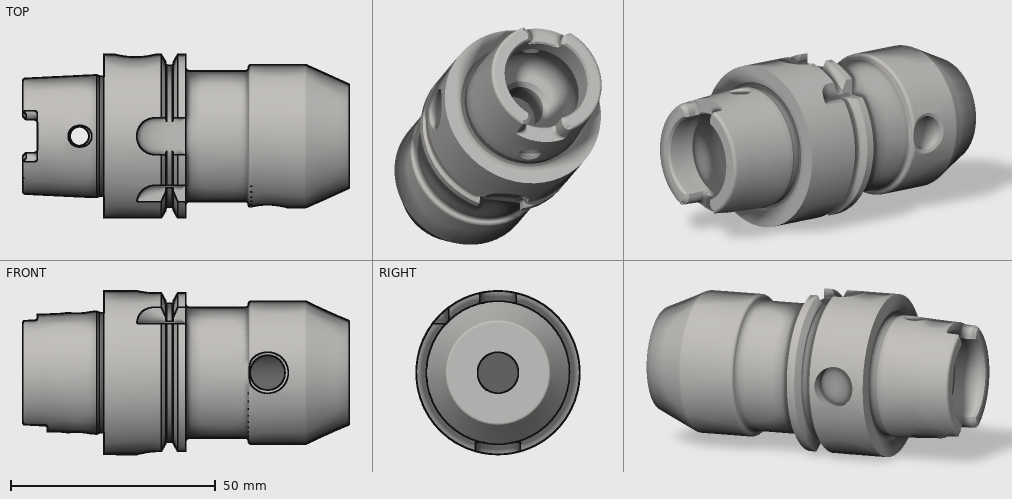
import cadquery as cq
import math


SHANK_LENGTH = 19.9
SHANK_END_RADIUS = 14.15
SHANK_BIG_RADIUS = 15.0
SHANK_END_ROUND = 0.8
SHANK_BIG_X = -1.8
RELIEF_X = -1.1
RELIEF_RADIUS = 14.7
RECESS_OUTER_RADIUS = 15.95
RECESS_FLOOR_RADIUS = 15.3
RECESS_DEPTH = 0.4

COLLAR_RADIUS = 20.0
COLLAR_LENGTH = 14.0
GROOVE_RADIUS = 17.4
GROOVE_FILLET = 0.25
GROOVE_WIDTH = 4.05
GROOVE_CONE_RUN = 1.1
GROOVE_CONE_ANGLE = 30.0
FLANGE_END_X = 20.0

NECK_RADIUS = 16.0
NECK_FILLET = 0.8
NECK_END_FILLET = 0.7
NOSE_START_X = 35.3
NOSE_RADIUS = 17.5
NOSE_START_ROUND = NOSE_RADIUS - NECK_RADIUS - NECK_END_FILLET
NOSE_CONE_X = 49.25
NOSE_CONE_ROUND = 1.3
NOSE_LENGTH = 60.0
NOSE_CONE_ANGLE = 24.3
NOSE_END_ROUND = 0.6

BORE_RADIUS = 10.5
MOUTH_CHAMFER = 0.4
MOUTH_CHAMFER_ANGLE = 30.0
LIP_LENGTH = 7.8
UNDERCUT_RADIUS = 12.75
UNDERCUT_ANGLE = 60.0
CAVITY_FLOOR_FILLET = 3.0
CAVITY_FLOOR_X = -1.0
COUPLING_RADIUS = 5.2
COUPLING_CHAMFER = 1.1
COUPLING_DEPTH = 8.0

DRIVE_HALF_WIDTH = 4.0
DRIVE_ROUND = 2.2
DRIVE_FLARE_Z = 10.5
DRIVE_INNER_Z = 6.0
DRIVE_OUTER_Z = 16.0
DRIVE_MOUTH_CHAMFER = 0.9
DRIVE_MOUTH_ANGLE = 45.0
DRIVE_FLOOR_FILLET = 0.7
TOP_DRIVE_DEPTH = 3.6
BOTTOM_DRIVE_DEPTH = 6.1

ACCESS_X = -6.0
ACCESS_RADIUS = 2.3
ACCESS_CHAMFER = 0.6

KEYWAY_START_X = 8.0
KEYWAY_FLOOR = 17.0
KEYWAY_FILLET = 0.4
TOP_KEYWAY_WIDTH = 9.0
BOTTOM_KEYWAY_WIDTH = 11.0
NOTCH_DISTANCE = 12.0

CHIP_X = 7.7
CHIP_RADIUS = 5.0
CHIP_DEPTH = 4.6

TOOL_BORE_RADIUS = 5.0
TOOL_BORE_DEPTH = 40.0
SCREW_X = 40.0
SCREW_RADIUS = 4.25
SCREW_CHAMFER_WIDTH = 0.8
SCREW_CHAMFER_DEPTH = 0.45


def revolve(profile):
    return profile.close().revolve(360, (0, 0, 0), (1, 0, 0))


def cone_run(radial_step, angle_deg):
    """Length along X over which a cone of this half angle changes radius by radial_step."""
    return radial_step / math.tan(math.radians(angle_deg))


def make_shank_and_collar():
    groove_wall_radius = COLLAR_RADIUS - cone_run(GROOVE_CONE_RUN, GROOVE_CONE_ANGLE)
    groove_start_x = COLLAR_LENGTH + GROOVE_CONE_RUN
    groove_flange_x = COLLAR_LENGTH + GROOVE_WIDTH
    groove_stop_x = groove_flange_x - GROOVE_CONE_RUN
    groove_fillet_radius = GROOVE_RADIUS + GROOVE_FILLET
    profile = (
        cq.Workplane("XY")
        .moveTo(-SHANK_LENGTH, 0)
        .lineTo(-SHANK_LENGTH, SHANK_END_RADIUS - SHANK_END_ROUND)
        .radiusArc((SHANK_END_ROUND - SHANK_LENGTH, SHANK_END_RADIUS), SHANK_END_ROUND)
        .lineTo(SHANK_BIG_X, SHANK_BIG_RADIUS)
        .lineTo(RELIEF_X, RELIEF_RADIUS)
        .lineTo(RECESS_DEPTH, RELIEF_RADIUS)
        .lineTo(RECESS_DEPTH, RECESS_FLOOR_RADIUS)
        .lineTo(0, RECESS_OUTER_RADIUS)
        .lineTo(0, COLLAR_RADIUS)
        .lineTo(COLLAR_LENGTH, COLLAR_RADIUS)
        .lineTo(groove_start_x, groove_wall_radius)
        .lineTo(groove_start_x, groove_fillet_radius)
        .radiusArc((groove_start_x + GROOVE_FILLET, GROOVE_RADIUS), -GROOVE_FILLET)
        .lineTo(groove_stop_x - GROOVE_FILLET, GROOVE_RADIUS)
        .radiusArc((groove_stop_x, groove_fillet_radius), -GROOVE_FILLET)
        .lineTo(groove_stop_x, groove_wall_radius)
        .lineTo(groove_flange_x, COLLAR_RADIUS)
        .lineTo(FLANGE_END_X, COLLAR_RADIUS)
        .lineTo(FLANGE_END_X, 0)
    )
    return revolve(profile)


def make_neck_and_nose():
    cone_angle = math.radians(NOSE_CONE_ANGLE)
    run_cos = math.cos(cone_angle)
    run_sin = math.sin(cone_angle)
    cone_tangent = NOSE_CONE_ROUND * math.tan(cone_angle / 2)
    end_tangent = NOSE_END_ROUND * math.tan((math.pi / 2 - cone_angle) / 2)
    end_radius = NOSE_RADIUS - (NOSE_LENGTH - NOSE_CONE_X) * math.tan(cone_angle)
    profile = (
        cq.Workplane("XY")
        .moveTo(FLANGE_END_X, 0)
        .lineTo(FLANGE_END_X, NECK_RADIUS + NECK_FILLET)
        .radiusArc((FLANGE_END_X + NECK_FILLET, NECK_RADIUS), -NECK_FILLET)
        .lineTo(NOSE_START_X - NECK_END_FILLET, NECK_RADIUS)
        .radiusArc((NOSE_START_X, NECK_RADIUS + NECK_END_FILLET), -NECK_END_FILLET)
        .radiusArc((NOSE_START_X + NOSE_START_ROUND, NOSE_RADIUS), NOSE_START_ROUND)
        .lineTo(NOSE_CONE_X - cone_tangent, NOSE_RADIUS)
        .radiusArc(
            (NOSE_CONE_X + cone_tangent * run_cos, NOSE_RADIUS - cone_tangent * run_sin),
            NOSE_CONE_ROUND,
        )
        .lineTo(NOSE_LENGTH - end_tangent * run_cos, end_radius + end_tangent * run_sin)
        .radiusArc((NOSE_LENGTH, end_radius - end_tangent), NOSE_END_ROUND)
        .lineTo(NOSE_LENGTH, 0)
    )
    return revolve(profile)


def make_cavity():
    mouth_run = cone_run(MOUTH_CHAMFER, MOUTH_CHAMFER_ANGLE)
    lip_x = LIP_LENGTH - SHANK_LENGTH
    undercut_run = cone_run(UNDERCUT_RADIUS - BORE_RADIUS, UNDERCUT_ANGLE)
    floor_flat_radius = UNDERCUT_RADIUS - CAVITY_FLOOR_FILLET
    profile = (
        cq.Workplane("XY")
        .moveTo(-SHANK_LENGTH, 0)
        .lineTo(-SHANK_LENGTH, BORE_RADIUS + MOUTH_CHAMFER)
        .lineTo(mouth_run - SHANK_LENGTH, BORE_RADIUS)
        .lineTo(lip_x, BORE_RADIUS)
        .lineTo(lip_x + undercut_run, UNDERCUT_RADIUS)
        .lineTo(CAVITY_FLOOR_X - CAVITY_FLOOR_FILLET, UNDERCUT_RADIUS)
        .radiusArc((CAVITY_FLOOR_X, floor_flat_radius), CAVITY_FLOOR_FILLET)
        .lineTo(CAVITY_FLOOR_X, COUPLING_RADIUS + COUPLING_CHAMFER)
        .lineTo(CAVITY_FLOOR_X + COUPLING_CHAMFER, COUPLING_RADIUS)
        .lineTo(CAVITY_FLOOR_X + COUPLING_DEPTH, COUPLING_RADIUS)
        .lineTo(CAVITY_FLOOR_X + COUPLING_DEPTH, 0)
    )
    return revolve(profile)


def drive_outline(growth):
    """Slot section at the shank end, with its walls moved outwards by growth."""
    half_width = DRIVE_HALF_WIDTH + growth
    arc_radius = DRIVE_ROUND - growth
    center_y = half_width + arc_radius
    shoulder_z = DRIVE_FLARE_Z + arc_radius
    return (
        cq.Workplane("YZ", origin=(-SHANK_LENGTH, 0, 0))
        .moveTo(-half_width, DRIVE_INNER_Z)
        .lineTo(half_width, DRIVE_INNER_Z)
        .lineTo(half_width, DRIVE_FLARE_Z)
        .radiusArc((center_y, shoulder_z), arc_radius)
        .lineTo(center_y, DRIVE_OUTER_Z)
        .lineTo(-center_y, DRIVE_OUTER_Z)
        .lineTo(-center_y, shoulder_z)
        .radiusArc((-half_width, DRIVE_FLARE_Z), arc_radius)
        .close()
    )


def make_drive_slot(depth):
    slot = drive_outline(0).extrude(depth).faces(">X").edges().fillet(DRIVE_FLOOR_FILLET)
    mouth = drive_outline(DRIVE_MOUTH_CHAMFER).extrude(DRIVE_MOUTH_CHAMFER, taper=DRIVE_MOUTH_ANGLE)
    return slot.union(mouth).union(make_slot_floor_chamfer(depth))


def make_slot_floor_chamfer(depth):
    """Bevel where the floor of a drive slot meets the shank bore."""
    cone = cq.Solid.makeCone(
        BORE_RADIUS + MOUTH_CHAMFER,
        BORE_RADIUS,
        MOUTH_CHAMFER,
        cq.Vector(depth - SHANK_LENGTH, 0, 0),
        cq.Vector(1, 0, 0),
    )
    half_width = DRIVE_HALF_WIDTH - DRIVE_FLOOR_FILLET
    slot_span = (
        cq.Workplane("YZ", origin=(depth - SHANK_LENGTH, 0, 0))
        .moveTo(-half_width, DRIVE_INNER_Z)
        .lineTo(half_width, DRIVE_INNER_Z)
        .lineTo(half_width, DRIVE_OUTER_Z)
        .lineTo(-half_width, DRIVE_OUTER_Z)
        .close()
        .extrude(MOUTH_CHAMFER)
    )
    return slot_span.intersect(cq.Workplane(cone))


def make_access_hole():
    taper = (SHANK_BIG_RADIUS - SHANK_END_RADIUS) / (SHANK_LENGTH + SHANK_BIG_X)
    wall_radius = SHANK_BIG_RADIUS - (SHANK_BIG_X - ACCESS_X) * taper
    outer_z = wall_radius + ACCESS_CHAMFER
    hole = cq.Workplane("XY").center(ACCESS_X, 0).circle(ACCESS_RADIUS).extrude(outer_z, both=True)
    for side in (1, -1):
        cone = cq.Solid.makeCone(
            ACCESS_RADIUS + 2 * ACCESS_CHAMFER,
            ACCESS_RADIUS,
            2 * ACCESS_CHAMFER,
            cq.Vector(ACCESS_X, 0, side * outer_z),
            cq.Vector(0, 0, -side),
        )
        hole = hole.union(cq.Workplane(cone))
    return hole


def make_keyway(width, floor_z, center_y):
    """Round-ended milled slot facing +Z, running out past the flange."""
    end_radius = width / 2
    center_x = KEYWAY_START_X + end_radius
    straight = FLANGE_END_X - center_x
    height = COLLAR_RADIUS - floor_z
    run = (
        cq.Workplane("XY", origin=(center_x, center_y, floor_z))
        .moveTo(0, end_radius)
        .threePointArc((-end_radius, 0), (0, -end_radius))
        .lineTo(straight, -end_radius)
        .lineTo(straight, end_radius)
        .close()
        .extrude(height)
    )
    return run.faces("<Z").edges("not >X").fillet(KEYWAY_FILLET)


def make_chip_pocket():
    return (
        cq.Workplane("XZ", origin=(CHIP_X, COLLAR_RADIUS, 0))
        .circle(CHIP_RADIUS)
        .extrude(CHIP_DEPTH)
    )


def make_tool_bore():
    return (
        cq.Workplane("YZ", origin=(NOSE_LENGTH - TOOL_BORE_DEPTH, 0, 0))
        .circle(TOOL_BORE_RADIUS)
        .extrude(TOOL_BORE_DEPTH)
    )


def make_screw_hole():
    """Radial hole whose chamfer follows the saddle-shaped rim on the round nose."""
    nose_bar = (
        cq.Workplane("YZ", origin=(SCREW_X, 0, 0))
        .circle(NOSE_RADIUS)
        .extrude(2 * SCREW_RADIUS, both=True)
    )
    hole = cq.Workplane("XZ").center(SCREW_X, 0).circle(SCREW_RADIUS).extrude(NOSE_RADIUS)
    drilled_bar = nose_bar.cut(hole)
    hole_wall = cq.NearestToPointSelector((SCREW_X, -NOSE_RADIUS / 2, SCREW_RADIUS))
    rim = drilled_bar.faces(hole_wall).edges("<Y")
    chamfered_bar = rim.chamfer(SCREW_CHAMFER_WIDTH, SCREW_CHAMFER_DEPTH)
    return nose_bar.cut(chamfered_bar)


def turned_over(cutter):
    return cutter.rotate((0, 0, 0), (1, 0, 0), 180)


result = make_shank_and_collar().union(make_neck_and_nose())
result = result.cut(make_cavity())
result = result.cut(make_drive_slot(TOP_DRIVE_DEPTH))
result = result.cut(turned_over(make_drive_slot(BOTTOM_DRIVE_DEPTH)))
result = result.cut(make_access_hole())
result = result.cut(make_keyway(TOP_KEYWAY_WIDTH, KEYWAY_FLOOR, 0))
result = result.cut(turned_over(make_keyway(BOTTOM_KEYWAY_WIDTH, KEYWAY_FLOOR, 0)))
notch_center_y = -NOTCH_DISTANCE - TOP_KEYWAY_WIDTH / 2
result = result.cut(make_keyway(TOP_KEYWAY_WIDTH, NOTCH_DISTANCE, notch_center_y))
result = result.cut(make_chip_pocket())
result = result.cut(make_tool_bore())
result = result.cut(make_screw_hole())